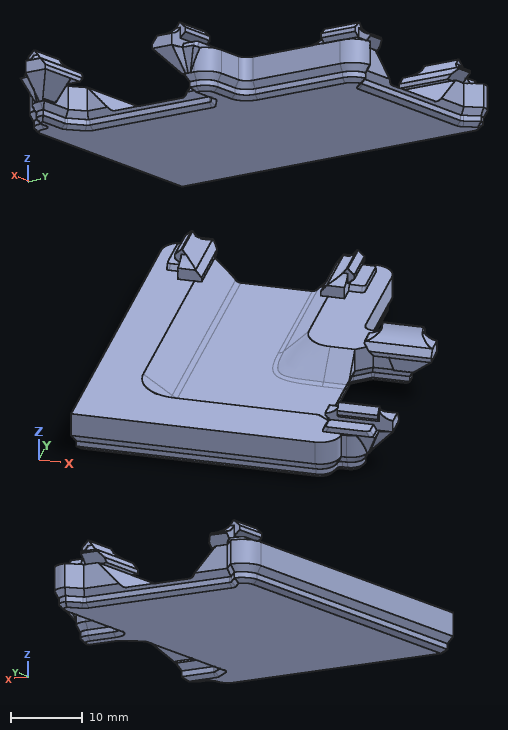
import cadquery as cq
import math


plate_top = 6.0
shoulder_z = 2.55
foot_z = 1.45
shoulder_inset = 0.6
foot_chamfer = 0.65

arm_a_length = 54.45
arm_a_width = 33.4
corner_radius = 3.05
arm_a_mouth_y = 52.4
arm_b_mouth_x = 33.75
lobe_slope_run = 1.85
arm_b_top_y = 34.95
arm_b_lobe_x = 41.7
arm_b_lobe_radius = 2.7
arm_b_nose_x = 38.3
notch_run = 2.2
notch_rise = 1.75
inner_fillet = 1.4

floor_z = 1.95
channel_left = 6.85
channel_right = 26.15
channel_low = 8.2
channel_high = 28.75
wall_spread = plate_top - floor_z
outer_bend_top = 6.0
outer_bend_floor = 3.8
inner_bend_top = 4.0
inner_bend_bulge = 0.835
floor_fillet = 1.1
mouth_overrun = 5.45

clip_length = 9.8
clip_width = 3.45
clip_knee_u = 2.55
clip_shoulder_z = 7.75
clip_side_z = 6.65
clip_peak_u = 0.15
clip_cheek = (1.15, 8.55)
clip_top = 9.7
clip_lip_z = 7.45
hook_inset = 1.95
ramp_top_z = 8.95
ramp_mid_run = 1.2
ramp_mid_z = 8.15
hook_reach = 0.9
hook_top_z = 8.8
hook_under_z = 8.15
hook_root_z = 7.4
tab_reach = 2.3
tab_top = 6.8
tab_start = 0.1
tab_length = 7.35
tab_end_slope = 0.5
tab_corner = 0.45
clip_a_end_y = 53.2
clip_a_wall_x = 4.45
clip_a_spacing = 24.1
clip_b_end_x = 35.3
clip_b_wall_y = 5.65
clip_b_spacing = 25.2

gusset_toe_x = 43.15
gusset_neck_y = 5.25
gusset_foot_x = 41.85
gusset_foot_low_y = 4.9
gusset_foot_high_y = 6.25


def arc_about(sketch, center, radius, start_deg, end_deg):
    """Continue a sketch with an arc from start_deg to end_deg about center."""
    def on_arc(degrees):
        angle = math.radians(degrees)
        return (center[0] + radius * math.cos(angle), center[1] + radius * math.sin(angle))

    return sketch.threePointArc(on_arc((start_deg + end_deg) / 2), on_arc(end_deg))


def plate_outline(z):
    r = corner_radius
    lobe_r = arm_b_lobe_radius
    s = cq.Workplane("XY", origin=(0, 0, z)).lineTo(0, arm_a_length - r)
    s = arc_about(s, (r, arm_a_length - r), r, 180, 90)
    s = s.lineTo(r + lobe_slope_run, arm_a_mouth_y)
    s = s.lineTo(arm_a_width - r - lobe_slope_run, arm_a_mouth_y)
    s = s.lineTo(arm_a_width - r, arm_a_length)
    s = arc_about(s, (arm_a_width - r, arm_a_length - r), r, 90, 0)
    s = s.lineTo(arm_a_width, arm_b_top_y + inner_fillet)
    s = arc_about(s, (arm_a_width + inner_fillet, arm_b_top_y + inner_fillet), inner_fillet, 180, 270)
    s = s.lineTo(arm_b_lobe_x - lobe_r, arm_b_top_y)
    s = arc_about(s, (arm_b_lobe_x - lobe_r, arm_b_top_y - lobe_r), lobe_r, 90, 0)
    s = s.lineTo(arm_b_lobe_x, channel_high + notch_rise)
    s = s.lineTo(arm_b_mouth_x + notch_run, channel_high + notch_rise)
    s = s.lineTo(arm_b_mouth_x, channel_high)
    s = s.lineTo(arm_b_mouth_x, channel_low)
    s = s.line(notch_run, -notch_rise)
    s = s.lineTo(arm_b_lobe_x, channel_low - notch_rise)
    s = s.lineTo(arm_b_lobe_x, r + lobe_r)
    s = arc_about(s, (arm_b_lobe_x - lobe_r, r + lobe_r), lobe_r, 0, -90)
    s = s.lineTo(arm_b_nose_x, r)
    s = arc_about(s, (arm_b_nose_x - r, r), r, 0, -90)
    return s.close()


def make_plate():
    upper = plate_outline(foot_z).extrude(plate_top - foot_z)
    upper = upper.faces("<Z").chamfer(shoulder_z - foot_z, shoulder_inset)
    foot = plate_outline(foot_chamfer).offset2D(-shoulder_inset).extrude(foot_z - foot_chamfer)
    sole = plate_outline(foot_chamfer).offset2D(-shoulder_inset).extrude(-foot_chamfer, taper=45)
    return upper.union(foot).union(sole)


def channel_wire(z, spread, outer_radius, bulge_point):
    """Closed plan loop of the channel at height z, its walls moved inward by spread."""
    left = channel_left + spread
    right = channel_right - spread
    low = channel_low + spread
    high = channel_high - spread
    beyond_x = arm_b_lobe_x + mouth_overrun
    beyond_y = arm_a_length + mouth_overrun
    bend_x = channel_right + inner_bend_top
    bend_y = channel_high + inner_bend_top
    s = cq.Workplane("XY", origin=(0, 0, z)).moveTo(left, beyond_y)
    s = s.lineTo(left, low + outer_radius)
    s = arc_about(s, (left + outer_radius, low + outer_radius), outer_radius, 180, 270)
    s = s.lineTo(beyond_x, low).lineTo(beyond_x, high).lineTo(bend_x, high)
    s = s.spline(
        [bulge_point, (right, bend_y)], tangents=[(-1, 0), (0, 1)], includeCurrent=True
    )
    s = s.lineTo(right, beyond_y).close()
    return s.wires().val()


def make_channel():
    diagonal = inner_bend_top * (1 - math.sqrt(0.5))
    top_bulge = (channel_right + diagonal, channel_high + diagonal)
    span = inner_bend_top + wall_spread
    floor_bulge = (
        channel_right - wall_spread + (1 - inner_bend_bulge) * span,
        channel_high - wall_spread + (1 - inner_bend_bulge) * span,
    )
    top = channel_wire(plate_top, 0, outer_bend_top, top_bulge)
    bottom = channel_wire(floor_z, wall_spread, outer_bend_floor, floor_bulge)
    channel = cq.Workplane(cq.Solid.makeLoft([bottom, top], True))
    return channel.faces("<Z").edges().fillet(floor_fillet)


def make_clip():
    """Clip with its hook wall on x = 0, reaching from y = 0 back to y = -clip_length."""
    body = (
        cq.Workplane("XZ")
        .moveTo(0, plate_top)
        .lineTo(clip_width, plate_top)
        .lineTo(clip_width, clip_side_z)
        .lineTo(clip_knee_u, clip_shoulder_z)
        .threePointArc(clip_cheek, (clip_peak_u, clip_top))
        .lineTo(0, clip_top)
        .close()
        .extrude(clip_length)
    )
    side = (
        cq.Workplane("YZ")
        .moveTo(plate_top - clip_lip_z, plate_top)
        .lineTo(0, clip_lip_z)
        .lineTo(0, clip_shoulder_z)
        .threePointArc((-ramp_mid_run, ramp_mid_z), (-hook_inset, ramp_top_z))
        .lineTo(-hook_inset, clip_top)
        .lineTo(hook_inset - clip_length, clip_top)
        .lineTo(hook_inset - clip_length, ramp_top_z)
        .threePointArc((ramp_mid_run - clip_length, ramp_mid_z), (-clip_length, clip_shoulder_z))
        .lineTo(-clip_length, plate_top)
        .close()
        .extrude(clip_width)
    )
    hook = (
        cq.Workplane("XZ", origin=(0, -hook_inset, 0))
        .moveTo(clip_peak_u, hook_root_z)
        .lineTo(0, hook_root_z)
        .lineTo(-hook_reach, hook_under_z)
        .lineTo(-hook_reach, hook_top_z)
        .lineTo(0, clip_top)
        .lineTo(clip_peak_u, clip_top)
        .close()
        .extrude(clip_length - 2 * hook_inset)
    )
    tab_far = tab_start + tab_length
    tab = (
        cq.Workplane("YZ")
        .moveTo(-tab_start, plate_top)
        .lineTo(-tab_start - tab_end_slope, tab_top)
        .lineTo(-tab_far + tab_end_slope, tab_top)
        .lineTo(-tab_far, plate_top)
        .close()
        .extrude(-tab_reach)
    )
    tab = tab.faces("<X").edges("not #Z").fillet(tab_corner)
    return body.intersect(side).union(hook).union(tab)


def clip_pair(spacing):
    clip = make_clip()
    return clip.union(clip.mirror("YZ").translate((spacing, 0, 0)))


def make_gussets():
    """Tapered supports between the arm B lobes and the free ends of their clips."""
    clip_far_x = clip_b_end_x + clip_length
    root_x = arm_b_lobe_x - arm_b_lobe_radius
    tab_side_y = clip_b_wall_y - tab_reach
    channel_side_y = clip_b_wall_y + clip_width
    gusset = (
        cq.Workplane("XY", origin=(0, 0, plate_top))
        .moveTo(root_x, tab_side_y)
        .lineTo(gusset_toe_x, tab_side_y)
        .lineTo(gusset_toe_x, gusset_neck_y)
        .lineTo(clip_far_x, clip_b_wall_y)
        .lineTo(clip_far_x, channel_side_y)
        .lineTo(root_x, channel_side_y)
        .close()
        .workplane(offset=shoulder_z - plate_top)
        .moveTo(root_x, gusset_foot_low_y)
        .lineTo(arm_b_lobe_x, gusset_foot_low_y)
        .lineTo(gusset_foot_x, gusset_neck_y)
        .lineTo(gusset_foot_x, clip_b_wall_y)
        .lineTo(gusset_foot_x, gusset_foot_high_y)
        .lineTo(root_x, gusset_foot_high_y)
        .close()
        .loft(ruled=True)
    )
    middle_y = clip_b_wall_y + clip_b_spacing / 2
    return gusset.union(gusset.mirror("XZ", (0, middle_y, 0)))


clips_a = clip_pair(clip_a_spacing).translate((clip_a_wall_x, clip_a_end_y, 0))
clips_b = (
    clip_pair(clip_b_spacing)
    .rotate((0, 0, 0), (0, 0, 1), 90)
    .translate((clip_b_end_x, clip_b_wall_y, 0))
)

result = make_plate().cut(make_channel()).union(make_gussets()).union(clips_a).union(clips_b)